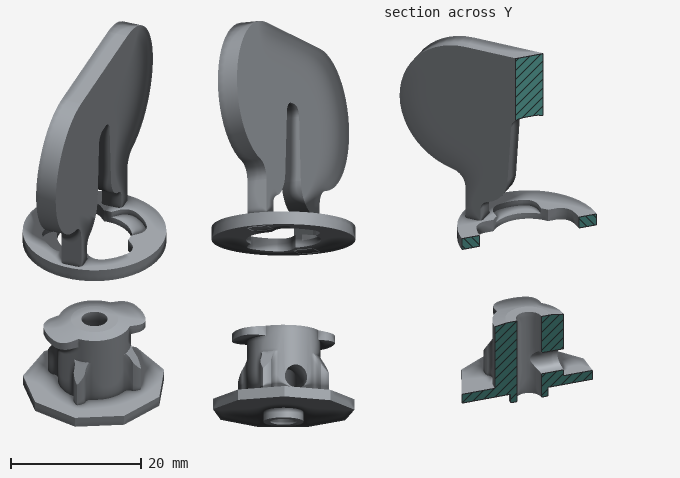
import cadquery as cq
import math

TOTAL_HEIGHT = 60.6
RING_BOTTOM = 28.6
RING_THICKNESS = 2.0

PICK_MARGIN = 0.05

HANDLE_THICKNESS = 3.2
HANDLE_ANGLE = -45.0
HANDLE_END_RADIUS = 11.1
LEG_OUTER = 10.0
LEG_WIDTH = 2.55
LEG_INNER = LEG_OUTER - LEG_WIDTH
LEG_OUTER_FILLET = 2.7
LEG_INNER_FILLET = 1.65
NOTCH_TOP = RING_BOTTOM + 21.25
NOTCH_SHOULDER = RING_BOTTOM + 9.75
NOTCH_TOP_HALF_WIDTH = 2.2
NOTCH_SHOULDER_HALF_WIDTH = 2.9
NOTCH_TOP_FILLET = 1.7
SHOULDER_RADIUS = 4.7

RING_RADIUS = 11.0
RING_HOLE_RADIUS = 5.75
RING_LOBE_RADIUS = 8.1
LOBE_HALF_WIDTH = 3.65
LOBE_FILLET = 2.2
LEDGE_THICKNESS = 1.0
LEG_SLOT_END_GAP = 0.3
LEG_SLOT_SIDE_GAP = 0.2
LEG_SLOT_FILLET = 0.8

BORE_RADIUS = 2.0
BOSS_RADIUS = 3.1
BOSS_HEIGHT = 1.5
FLANGE_SIDES = 9
FLANGE_RADIUS = 11.0
FLANGE_TOP = 3.15
BODY_RADIUS = 5.65
SPINDLE_TOP = 14.3
CROWN_RADIUS = 3.65
TAB_RADIUS = 7.95
TAB_UNDERSIDE = 12.5
TAB_RIM_TOP = 13.65
CROSS_HOLE_RADIUS = 1.8
CROSS_HOLE_HEIGHT = 6.0

RIB_COUNT = 4
RIB_HALF_WIDTH = 0.9
RIB_REACH = 7.65
RIB_TIP_LENGTH = 0.95
RIB_TIP_BULGE = 0.09
RIB_ROOT_FILLET = 0.9
RIB_TOP = 9.95
RIB_TIP_TOP = 6.9


def cylinder(radius, bottom, top):
    return cq.Workplane("XY").workplane(offset=bottom).circle(radius).extrude(top - bottom)


def lobe_pair(radius, bottom, top):
    """Two opposite lobes along Y: a straight-sided bar with arc ends and rounded corners."""
    bar = (
        cq.Workplane("XY").workplane(offset=bottom)
        .rect(2 * LOBE_HALF_WIDTH, 4 * radius).extrude(top - bottom)
    )
    return bar.intersect(cylinder(radius, bottom, top)).edges("|Z").fillet(LOBE_FILLET)


def arc_middle(center, start, end):
    """Point halfway along the short arc from start to end about center."""
    radius = math.dist(center, start)
    dx = (start[0] + end[0]) / 2 - center[0]
    dz = (start[1] + end[1]) / 2 - center[1]
    length = math.hypot(dx, dz)
    return (center[0] + radius * dx / length, center[1] + radius * dz / length)


def point_between(start, end, distance):
    """Point at the given distance from start on the way to end."""
    share = distance / math.dist(start, end)
    return (start[0] + share * (end[0] - start[0]), start[1] + share * (end[1] - start[1]))


def make_half_handle():
    """Right half of the handle plate, from its middle plane to one end."""
    end_center = (LEG_OUTER, TOTAL_HEIGHT - HANDLE_END_RADIUS)

    outer_drop = math.sqrt((HANDLE_END_RADIUS + LEG_OUTER_FILLET) ** 2 - LEG_OUTER_FILLET ** 2)
    outer_center = (LEG_OUTER + LEG_OUTER_FILLET, end_center[1] - outer_drop)
    outer_join = point_between(end_center, outer_center, HANDLE_END_RADIUS)
    outer_leg = (LEG_OUTER, outer_center[1])

    taper = math.atan2(NOTCH_SHOULDER_HALF_WIDTH - NOTCH_TOP_HALF_WIDTH, NOTCH_TOP - NOTCH_SHOULDER)
    shoulder = (NOTCH_SHOULDER_HALF_WIDTH, NOTCH_SHOULDER)
    shoulder_center = (
        shoulder[0] + SHOULDER_RADIUS * math.cos(taper),
        shoulder[1] + SHOULDER_RADIUS * math.sin(taper),
    )
    inner_x = LEG_INNER - LEG_INNER_FILLET
    inner_offset = inner_x - shoulder_center[0]
    inner_drop = math.sqrt((SHOULDER_RADIUS + LEG_INNER_FILLET) ** 2 - inner_offset ** 2)
    inner_center = (inner_x, shoulder_center[1] - inner_drop)
    inner_join = point_between(shoulder_center, inner_center, SHOULDER_RADIUS)
    inner_leg = (LEG_INNER, inner_center[1])

    return (
        cq.Workplane("XZ")
        .moveTo(0, TOTAL_HEIGHT)
        .lineTo(LEG_OUTER, TOTAL_HEIGHT)
        .threePointArc((LEG_OUTER + HANDLE_END_RADIUS, end_center[1]), outer_join)
        .threePointArc(arc_middle(outer_center, outer_join, outer_leg), outer_leg)
        .lineTo(LEG_OUTER, RING_BOTTOM)
        .lineTo(LEG_INNER, RING_BOTTOM)
        .lineTo(*inner_leg)
        .threePointArc(arc_middle(inner_center, inner_leg, inner_join), inner_join)
        .threePointArc(arc_middle(shoulder_center, inner_join, shoulder), shoulder)
        .lineTo(NOTCH_TOP_HALF_WIDTH, NOTCH_TOP)
        .lineTo(0, NOTCH_TOP)
        .close()
        .extrude(HANDLE_THICKNESS / 2, both=True)
    )


def make_handle():
    half = make_half_handle()
    plate = half.union(half.mirror("YZ")).clean()
    notch_top_corners = cq.selectors.BoxSelector(
        (-LEG_INNER, -HANDLE_THICKNESS, NOTCH_TOP - PICK_MARGIN),
        (LEG_INNER, HANDLE_THICKNESS, NOTCH_TOP + PICK_MARGIN),
    )
    plate = plate.edges("|Y").edges(notch_top_corners).fillet(NOTCH_TOP_FILLET)
    return plate.rotate((0, 0, 0), (0, 0, 1), HANDLE_ANGLE)


def make_leg_slots():
    middle = (LEG_OUTER + LEG_INNER) / 2
    slots = (
        cq.Workplane("XY").workplane(offset=RING_BOTTOM)
        .pushPoints([(-middle, 0), (middle, 0)])
        .rect(LEG_WIDTH + 2 * LEG_SLOT_END_GAP, HANDLE_THICKNESS + 2 * LEG_SLOT_SIDE_GAP)
        .extrude(RING_THICKNESS)
        .edges("|Z").fillet(LEG_SLOT_FILLET)
    )
    return slots.rotate((0, 0, 0), (0, 0, 1), HANDLE_ANGLE)


def make_ring():
    top = RING_BOTTOM + RING_THICKNESS
    ring = cylinder(RING_RADIUS, RING_BOTTOM, top)
    ring = ring.cut(cylinder(RING_HOLE_RADIUS, RING_BOTTOM, top))
    entry_lobes = lobe_pair(RING_LOBE_RADIUS, RING_BOTTOM, top).rotate((0, 0, 0), (0, 0, 1), 90)
    locking_lobes = lobe_pair(RING_LOBE_RADIUS, RING_BOTTOM + LEDGE_THICKNESS, top)
    return ring.cut(entry_lobes).cut(locking_lobes).cut(make_leg_slots())


def make_ribbed_body():
    """Spindle body with filleted ribs on its diagonals, each sloping away at the top."""
    tip_start = RIB_REACH - RIB_TIP_LENGTH
    body = cylinder(BODY_RADIUS, FLANGE_TOP, RIB_TOP)
    slope = (
        cq.Workplane("XZ")
        .polyline([(BODY_RADIUS, RIB_TOP), (RIB_REACH, RIB_TIP_TOP), (RIB_REACH, RIB_TOP)]).close()
        .extrude(BODY_RADIUS, both=True)
    )
    rib = (
        cq.Workplane("XY").workplane(offset=FLANGE_TOP)
        .moveTo(0, -RIB_HALF_WIDTH)
        .lineTo(tip_start, -RIB_HALF_WIDTH)
        .sagittaArc((RIB_REACH, 0), -RIB_TIP_BULGE)
        .sagittaArc((tip_start, RIB_HALF_WIDTH), -RIB_TIP_BULGE)
        .lineTo(0, RIB_HALF_WIDTH)
        .close()
        .extrude(RIB_TOP - FLANGE_TOP)
    )
    root_x = math.sqrt(BODY_RADIUS ** 2 - RIB_HALF_WIDTH ** 2)
    root_edges = cq.selectors.BoxSelector(
        (root_x - PICK_MARGIN, -BODY_RADIUS, FLANGE_TOP),
        (root_x + PICK_MARGIN, BODY_RADIUS, RIB_TOP),
    )
    ribbed = body.union(rib).edges("|Z").edges(root_edges).fillet(RIB_ROOT_FILLET).cut(slope)
    for index in range(RIB_COUNT):
        angle = (index + 0.5) * 360 / RIB_COUNT
        body = body.union(ribbed.rotate((0, 0, 0), (0, 0, 1), angle))
    return body


def make_head():
    """Upper end of the spindle: plain body and two bayonet tabs under a shallow cone."""
    head = cylinder(BODY_RADIUS, RIB_TOP, SPINDLE_TOP)
    head = head.union(lobe_pair(TAB_RADIUS, TAB_UNDERSIDE, SPINDLE_TOP))
    cone = (
        cq.Workplane("XZ")
        .polyline([
            (0, RIB_TOP), (TAB_RADIUS, RIB_TOP), (TAB_RADIUS, TAB_RIM_TOP),
            (CROWN_RADIUS, SPINDLE_TOP), (0, SPINDLE_TOP),
        ])
        .close()
        .revolve(360, (0, 0, 0), (0, 1, 0))
    )
    return head.intersect(cone)


def make_spindle():
    flange = (
        cq.Workplane("XY").workplane(offset=BOSS_HEIGHT)
        .polygon(FLANGE_SIDES, 2 * FLANGE_RADIUS).extrude(FLANGE_TOP - BOSS_HEIGHT)
    )
    spindle = cylinder(BOSS_RADIUS, 0, BOSS_HEIGHT).union(flange)
    spindle = spindle.union(make_ribbed_body()).union(make_head())
    bore = cylinder(BORE_RADIUS, 0, SPINDLE_TOP)
    cross_hole = (
        cq.Workplane("YZ").center(0, CROSS_HOLE_HEIGHT).circle(CROSS_HOLE_RADIUS).extrude(-BODY_RADIUS)
    )
    return spindle.cut(bore).cut(cross_hole)


handle = make_handle()
ring = make_ring()
spindle = make_spindle()

result = cq.Compound.makeCompound([handle.val(), ring.val(), spindle.val()])